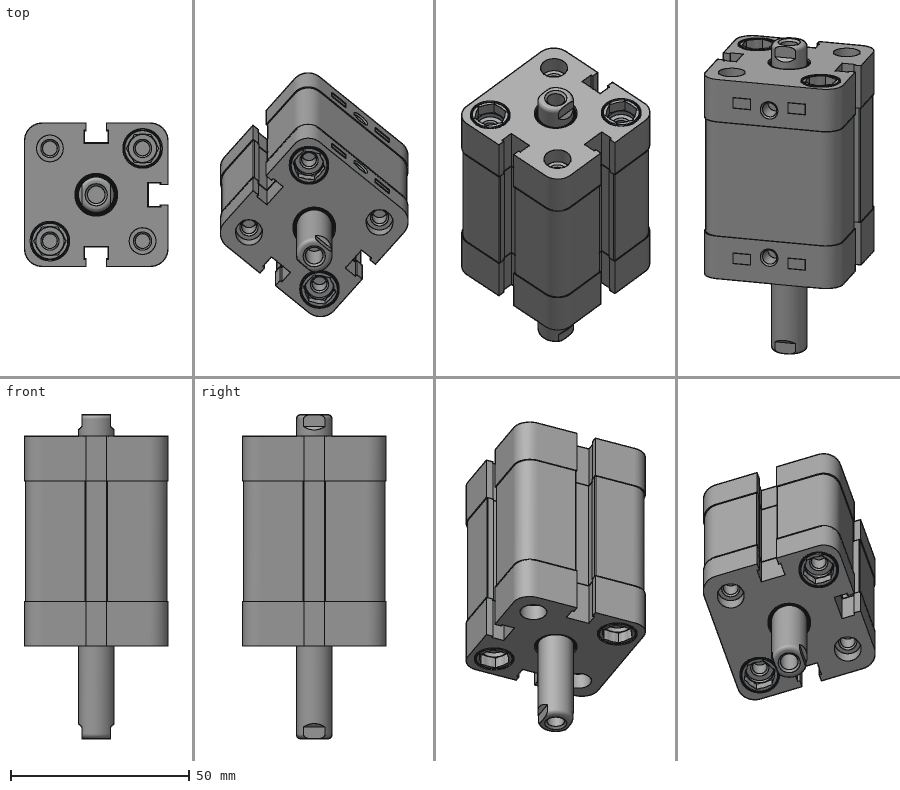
import cadquery as cq
import math


CAP_SIDE = 40.3
TUBE_SIDE = 39.8
CORNER_RADIUS = 5.0
HOUSING_LENGTH = 59.0
CAP_HEIGHT = 12.6
TUBE_LENGTH = HOUSING_LENGTH - 2 * CAP_HEIGHT
TUBE_BORE_DIAMETER = 25.0

SLOT_OPENING = 5.7
SLOT_WIDTH = 7.0
SLOT_LIP_DEPTH = 2.0
SLOT_DEPTH = 5.7
SLOT_ANGLES = (0, 90, -90)
TUBE_LIP_CHAMFER = 0.3
TUBE_SLOT_INSET = 0.15

CORNER_OFFSET = 13.0
SCREW_CORNERS = [(CORNER_OFFSET, CORNER_OFFSET), (-CORNER_OFFSET, -CORNER_OFFSET)]
PLAIN_CORNERS = [(-CORNER_OFFSET, CORNER_OFFSET), (CORNER_OFFSET, -CORNER_OFFSET)]
RECESS_DEPTH = 4.7
PLAIN_RECESS_DIAMETER = 7.5
COLLAR_GROOVE_DIAMETER = 11.1
COLLAR_DIAMETER = 10.48
COLLAR_TOP_DIAMETER = 10.0
COLLAR_GROOVE_DEPTH = 0.6
SOCKET_FLATS = 7.9
SOCKET_HEX_DEPTH = 3.3
SOCKET_RELIEF_DIAMETER = 8.2
SOCKET_BASE_DIAMETER = 7.9

M5_DIAMETER = 4.13
M5_MOUTH_DIAMETER = 5.1
M5_DEPTH = 6.0
PORT_BELOW_FACE = 7.7

LABEL_WIDTH = 5.1
LABEL_HEIGHT = 3.1
LABEL_DEPTH = 0.2
LABEL_OFFSET = 8.0
LABEL_BELOW_FACE = 6.5

ROD_DIAMETER = 10.0
ROD_TOP_PROJECTION = 6.0
ROD_BOTTOM_PROJECTION = 26.0
ROD_LENGTH = HOUSING_LENGTH + ROD_TOP_PROJECTION + ROD_BOTTOM_PROJECTION
ROD_END_RADIUS = 1.25
ROD_FLATS = 8.0
ROD_FLAT_LENGTH = 3.3
ROD_THREAD_DIAMETER = 4.92
ROD_THREAD_MOUTH_DIAMETER = 6.2
ROD_THREAD_DEPTH = 12.0
MOUTH_DIAMETER = 12.0
MOUTH_STEP_OUTER_DIAMETER = 11.4
MOUTH_STEP_INNER_DIAMETER = 10.9
MOUTH_FLOOR_DIAMETER = 10.48
MOUTH_STEP_DEPTH = 0.3
MOUTH_DEPTH = 0.6


def cylinder(diameter, z_bottom, z_top):
    return cq.Workplane("XY").workplane(offset=z_bottom).circle(diameter / 2).extrude(z_top - z_bottom)


def cone(bottom_diameter, top_diameter, z_bottom, z_top):
    profile = [
        (0, z_bottom),
        (bottom_diameter / 2, z_bottom),
        (top_diameter / 2, z_top),
        (0, z_top),
    ]
    return cq.Workplane("XZ").polyline(profile).close().revolve(360, (0, 0), (0, 1))


def threaded_hole(diameter, mouth_diameter, depth, z_mouth):
    """Blind hole going down from z_mouth, with a 45 degree chamfer at its mouth."""
    chamfer = (mouth_diameter - diameter) / 2
    hole = cylinder(diameter, z_mouth - depth, z_mouth)
    return hole.union(cone(diameter, mouth_diameter, z_mouth - chamfer, z_mouth))


def slot(side, length, lip_chamfer=0, inset=0):
    """T-slot along Z, open toward +X, for a block of the given side; inset makes its wide part smaller."""
    outer_x = side / 2
    lip_x = outer_x - SLOT_LIP_DEPTH
    floor_x = CAP_SIDE / 2 - SLOT_DEPTH + inset
    half_opening = SLOT_OPENING / 2
    half_width = SLOT_WIDTH / 2 - inset
    upper = [(floor_x, half_width), (lip_x, half_width), (lip_x, half_opening)]
    if lip_chamfer:
        upper.append((outer_x - lip_chamfer, half_opening))
    upper.append((outer_x, half_opening + lip_chamfer))
    lower = [(x, -y) for x, y in reversed(upper)]
    return cq.Workplane("XY").polyline(upper + lower).close().extrude(length)


def slotted_block(side, length, lip_chamfer=0, slot_inset=0):
    """Square block with rounded corners, standing on Z = 0, with its three T-slots."""
    block = cq.Workplane("XY").rect(side, side).extrude(length).edges("|Z").fillet(CORNER_RADIUS)
    for angle in SLOT_ANGLES:
        side_slot = slot(side, length, lip_chamfer, slot_inset)
        block = block.cut(side_slot.rotate((0, 0, 0), (0, 0, 1), angle))
    return block


def corner_thread():
    return threaded_hole(M5_DIAMETER, M5_MOUTH_DIAMETER, M5_DEPTH, CAP_HEIGHT - RECESS_DEPTH)


def plain_corner_cut():
    recess = cylinder(PLAIN_RECESS_DIAMETER, CAP_HEIGHT - RECESS_DEPTH, CAP_HEIGHT)
    return recess.union(corner_thread())


def screw_corner_cut():
    """Ring groove around a chamfered collar, and the collar's hexagon socket with its thread."""
    groove_floor = CAP_HEIGHT - COLLAR_GROOVE_DEPTH
    collar_chamfer = (COLLAR_DIAMETER - COLLAR_TOP_DIAMETER) / 2
    collar = cylinder(COLLAR_DIAMETER, groove_floor, CAP_HEIGHT - collar_chamfer)
    collar = collar.union(cone(COLLAR_DIAMETER, COLLAR_TOP_DIAMETER, CAP_HEIGHT - collar_chamfer, CAP_HEIGHT))
    groove = cylinder(COLLAR_GROOVE_DIAMETER, groove_floor, CAP_HEIGHT).cut(collar)

    hex_corners = SOCKET_FLATS / math.cos(math.pi / 6)
    hexagon = (
        cq.Workplane("XY")
        .workplane(offset=CAP_HEIGHT - SOCKET_HEX_DEPTH)
        .polygon(6, hex_corners)
        .extrude(SOCKET_HEX_DEPTH)
    )
    relief = cylinder(SOCKET_RELIEF_DIAMETER, CAP_HEIGHT - SOCKET_HEX_DEPTH, CAP_HEIGHT)
    base = cylinder(SOCKET_BASE_DIAMETER, CAP_HEIGHT - RECESS_DEPTH, CAP_HEIGHT)
    socket = hexagon.union(relief).union(base)
    return groove.union(socket.union(corner_thread()))


def air_port():
    """M5 port going in from the -X face."""
    port = threaded_hole(M5_DIAMETER, M5_MOUTH_DIAMETER, M5_DEPTH, 0)
    port = port.rotate((0, 0, 0), (0, 1, 0), -90)
    return port.translate((-CAP_SIDE / 2, 0, CAP_HEIGHT - PORT_BELOW_FACE))


def label_recesses():
    return (
        cq.Workplane("YZ", origin=(-CAP_SIDE / 2, 0, CAP_HEIGHT - LABEL_BELOW_FACE))
        .pushPoints([(-LABEL_OFFSET, 0), (LABEL_OFFSET, 0)])
        .rect(LABEL_WIDTH, LABEL_HEIGHT)
        .extrude(LABEL_DEPTH)
    )


def rod_mouth():
    """Two conical steps around the rod, with a narrow ledge between them."""
    ledge = CAP_HEIGHT - MOUTH_STEP_DEPTH
    upper_step = cone(MOUTH_STEP_OUTER_DIAMETER, MOUTH_DIAMETER, ledge, CAP_HEIGHT)
    lower_step = cone(MOUTH_FLOOR_DIAMETER, MOUTH_STEP_INNER_DIAMETER, CAP_HEIGHT - MOUTH_DEPTH, ledge)
    return upper_step.union(lower_step)


def make_cap():
    """End cap standing on Z = 0, with its outer face at Z = CAP_HEIGHT."""
    cap = slotted_block(CAP_SIDE, CAP_HEIGHT)
    cap = cap.cut(cylinder(ROD_DIAMETER, 0, CAP_HEIGHT))
    cap = cap.cut(rod_mouth())
    for x, y in PLAIN_CORNERS:
        cap = cap.cut(plain_corner_cut().translate((x, y, 0)))
    for x, y in SCREW_CORNERS:
        cap = cap.cut(screw_corner_cut().translate((x, y, 0)))
    return cap.cut(air_port()).cut(label_recesses())


def make_tube():
    tube = slotted_block(TUBE_SIDE, TUBE_LENGTH, TUBE_LIP_CHAMFER, TUBE_SLOT_INSET)
    tube = tube.cut(cylinder(TUBE_BORE_DIAMETER, 0, TUBE_LENGTH))
    return tube.translate((0, 0, -TUBE_LENGTH / 2))


def rod_flat_cut():
    """Material beside one wrench flat at the +X side of the top end, with a 45 degree run-out."""
    flat_x = ROD_FLATS / 2
    outer_x = ROD_DIAMETER / 2
    run_out = outer_x - flat_x
    flat_bottom = ROD_LENGTH / 2 - ROD_FLAT_LENGTH
    profile = [
        (flat_x, ROD_LENGTH / 2),
        (flat_x, flat_bottom),
        (outer_x, flat_bottom - run_out),
        (outer_x, ROD_LENGTH / 2),
    ]
    return cq.Workplane("XZ").polyline(profile).close().extrude(outer_x, both=True)


def make_rod():
    """Through rod, equal at both ends, built around its own middle and moved into place."""
    rod = cylinder(ROD_DIAMETER, -ROD_LENGTH / 2, ROD_LENGTH / 2)
    rod = rod.faces("<Z or >Z").edges().fillet(ROD_END_RADIUS)
    thread = threaded_hole(ROD_THREAD_DIAMETER, ROD_THREAD_MOUTH_DIAMETER, ROD_THREAD_DEPTH, ROD_LENGTH / 2)
    for end_angle in (0, 180):
        rod = rod.cut(thread.rotate((0, 0, 0), (1, 0, 0), end_angle))
        for side_angle in (0, 180):
            flat = rod_flat_cut().rotate((0, 0, 0), (0, 0, 1), side_angle)
            rod = rod.cut(flat.rotate((0, 0, 0), (1, 0, 0), end_angle))
    return rod.translate((0, 0, (ROD_TOP_PROJECTION - ROD_BOTTOM_PROJECTION) / 2))


caps = []
for end_angle in (0, 180):
    cap = make_cap().translate((0, 0, TUBE_LENGTH / 2))
    caps.append(cap.rotate((0, 0, 0), (1, 0, 0), end_angle).val())

tube = make_tube()
rod = make_rod()

result = cq.Compound.makeCompound([*caps, tube.val(), rod.val()])